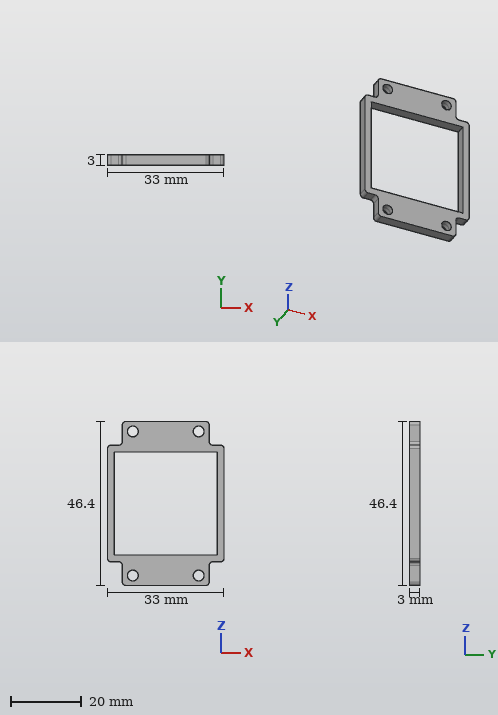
import cadquery as cq

thickness = 3.0
body_size = 33.0
total_height = 46.39
tab_width = 24.6
corner_radius = 1.0

wall = 2.0
window_size = body_size - 2 * wall

hole_diameter = 3.0
hole_spacing_x = 18.6
hole_spacing_z = 40.7


def upright_block(width, height):
    """Rectangular block centred on the origin, standing in the XZ plane."""
    return cq.Workplane("XY").box(width, thickness, height)


def make_outline_plate():
    """Square body with a tab above and below, every outline corner rounded."""
    body = upright_block(body_size, body_size)
    tabs = upright_block(tab_width, total_height)
    return body.union(tabs).edges("|Y").fillet(corner_radius)


def make_mounting_holes():
    """Cylinders that pass through the full thickness of the tabs."""
    return (
        cq.Workplane("XZ")
        .rarray(hole_spacing_x, hole_spacing_z, 2, 2)
        .circle(hole_diameter / 2)
        .extrude(thickness, both=True)
    )


plate = make_outline_plate()
window = upright_block(window_size, window_size)
result = plate.cut(window).cut(make_mounting_holes())